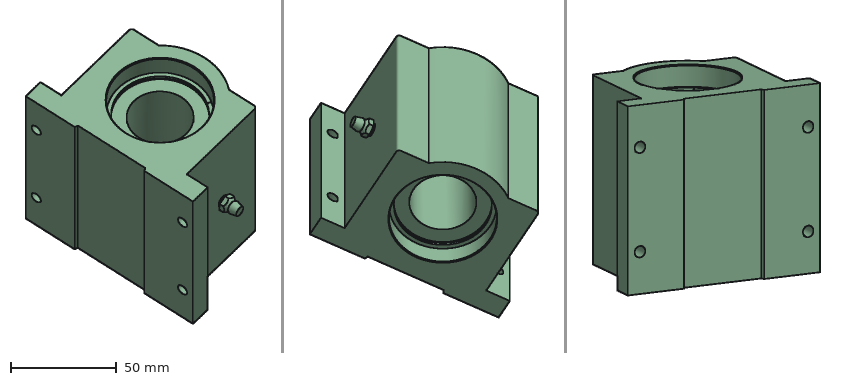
import cadquery as cq
import math


FOOT_WIDTH = 101.6
FOOT_THICKNESS = 11.1
BLOCK_WIDTH = 76.2
BLOCK_HEIGHT = 63.5
LENGTH = 92.0
TOTAL_HEIGHT = 71.3
AXIS_HEIGHT = 38.1
BASE_Y = -AXIS_HEIGHT
CROWN_RADIUS = TOTAL_HEIGHT - AXIS_HEIGHT
CORNER_RADIUS = 1.6
RELIEF_WIDTH_OUTER = 42.3
RELIEF_WIDTH_INNER = 40.8
RELIEF_DEPTH = 1.6
BORE_RADIUS = 25.4
BORE_CHAMFER_WIDTH = 0.4
BORE_CHAMFER_DEPTH = 0.6
MOUNT_HOLE_DIAMETER = 5.6
MOUNT_HOLE_SPACING_X = 88.9
MOUNT_HOLE_SPACING_Z = 50.8

RING_SETBACK = 10.8
RING_THICKNESS = 1.4
RING_INNER_RADIUS = 23.2
RING_SLIT_WIDTH = 0.2
RING_SLIT_ANGLE = 56.0

SHAFT_RADIUS = 15.8
BEARING_LENGTH = LENGTH - 2 * (RING_SETBACK + RING_THICKNESS)
BEARING_FACE_RECESS = 0.9

NIPPLE_STEM_RADIUS = 3.1
HEX_START = 1.1
HEX_END = 4.1
HEX_ACROSS_FLATS = 7.9
HEX_SIDES = 6
HEX_HALF_ANGLE = 180 / HEX_SIDES
CONE_END = 5.4
NECK_RADIUS = 2.8
BULGE_PEAK = 6.6
BULGE_PEAK_RADIUS = 3.5
BULGE_END = 7.4
BULGE_END_RADIUS = 3.3
NIPPLE_LENGTH = 10.3
TIP_RADIUS = 2.6


def cylinder(radius, length):
    """Solid cylinder on the Z axis, centred on Z = 0."""
    return cq.Workplane("XY").circle(radius).extrude(length / 2, both=True)


def housing_blank():
    """Flanged block with a round crown concentric with the bore."""
    foot = cq.Workplane("XY").box(FOOT_WIDTH, FOOT_THICKNESS, LENGTH)
    foot = foot.translate((0, BASE_Y + FOOT_THICKNESS / 2, 0))
    block = cq.Workplane("XY").box(BLOCK_WIDTH, BLOCK_HEIGHT, LENGTH)
    block = block.translate((0, BASE_Y + BLOCK_HEIGHT / 2, 0))
    block = block.edges("|Z and >Y").fillet(CORNER_RADIUS)
    return foot.union(block).union(cylinder(CROWN_RADIUS, LENGTH))


def base_relief():
    """Shallow channel with sloping sides along the mounting face."""
    relief_top = BASE_Y + RELIEF_DEPTH
    return (
        cq.Workplane("XY")
        .moveTo(-RELIEF_WIDTH_OUTER / 2, BASE_Y)
        .lineTo(-RELIEF_WIDTH_INNER / 2, relief_top)
        .lineTo(RELIEF_WIDTH_INNER / 2, relief_top)
        .lineTo(RELIEF_WIDTH_OUTER / 2, BASE_Y)
        .close()
        .extrude(LENGTH / 2, both=True)
    )


def bore():
    """Through bore with a narrow chamfer at each end."""
    half_length = LENGTH / 2
    mouth_radius = BORE_RADIUS + BORE_CHAMFER_WIDTH
    return (
        cq.Workplane("XZ")
        .moveTo(0, -half_length)
        .lineTo(mouth_radius, -half_length)
        .lineTo(BORE_RADIUS, -half_length + BORE_CHAMFER_DEPTH)
        .lineTo(BORE_RADIUS, half_length - BORE_CHAMFER_DEPTH)
        .lineTo(mouth_radius, half_length)
        .lineTo(0, half_length)
        .close()
        .revolve(360, (0, 0, 0), (0, 1, 0))
    )


def mount_holes():
    """Four holes through the foot, parallel to Y."""
    return (
        cq.Workplane("XZ", origin=(0, BASE_Y, 0))
        .rarray(MOUNT_HOLE_SPACING_X, MOUNT_HOLE_SPACING_Z, 2, 2)
        .circle(MOUNT_HOLE_DIAMETER / 2)
        .extrude(-FOOT_THICKNESS)
    )


def make_housing():
    return housing_blank().cut(base_relief()).cut(bore()).cut(mount_holes())


def make_bearing():
    """Sleeve with a raised outer rim at each end."""
    recessed_length = BEARING_LENGTH - 2 * BEARING_FACE_RECESS
    shell = cylinder(BORE_RADIUS, BEARING_LENGTH).cut(cylinder(RING_INNER_RADIUS, BEARING_LENGTH))
    core = cylinder(RING_INNER_RADIUS, recessed_length)
    return shell.union(core).cut(cylinder(SHAFT_RADIUS, BEARING_LENGTH))


def make_retaining_ring(bottom_z):
    """Flat ring with one narrow radial slit."""
    slit = (
        cq.Workplane("XY")
        .box(2 * BORE_RADIUS, RING_SLIT_WIDTH, RING_THICKNESS, centered=(False, True, False))
        .rotate((0, 0, 0), (0, 0, 1), RING_SLIT_ANGLE)
    )
    ring = cq.Workplane("XY").circle(BORE_RADIUS).circle(RING_INNER_RADIUS).extrude(RING_THICKNESS)
    return ring.cut(slit).translate((0, 0, bottom_z))


def nipple_hex():
    """Hexagon with two flats facing +Y and -Y, its outer corners turned off at 45 degrees."""
    flat_radius = HEX_ACROSS_FLATS / 2
    corner_radius = flat_radius / math.cos(math.radians(HEX_HALF_ANGLE))
    corner_cut = corner_radius - flat_radius
    hexagon = (
        cq.Workplane("YZ", origin=(HEX_START, 0, 0))
        .polygon(HEX_SIDES, 2 * corner_radius)
        .extrude(HEX_END - HEX_START)
        .rotate((0, 0, 0), (1, 0, 0), HEX_HALF_ANGLE)
    )
    turned = (
        cq.Workplane("YZ", origin=(HEX_START, 0, 0))
        .circle(corner_radius)
        .extrude(HEX_END - HEX_START)
        .faces(">X")
        .chamfer(corner_cut)
    )
    return hexagon.intersect(turned)


def make_grease_nipple():
    """Nipple standing on the middle of the block's +X side, level with the bore axis."""
    turned_body = (
        cq.Workplane("XZ")
        .lineTo(0, NIPPLE_STEM_RADIUS)
        .lineTo(HEX_END, NIPPLE_STEM_RADIUS)
        .lineTo(HEX_END, HEX_ACROSS_FLATS / 2)
        .lineTo(CONE_END, NECK_RADIUS)
        .threePointArc((BULGE_PEAK, BULGE_PEAK_RADIUS), (BULGE_END, BULGE_END_RADIUS))
        .lineTo(NIPPLE_LENGTH, TIP_RADIUS)
        .lineTo(NIPPLE_LENGTH, 0)
        .close()
        .revolve(360, (0, 0, 0), (1, 0, 0))
    )
    return turned_body.union(nipple_hex()).translate((BLOCK_WIDTH / 2, 0, 0))


housing = make_housing()
bearing = make_bearing()
grease_nipple = make_grease_nipple()
ring_bottoms = (BEARING_LENGTH / 2, -BEARING_LENGTH / 2 - RING_THICKNESS)
retaining_rings = [make_retaining_ring(bottom_z) for bottom_z in ring_bottoms]

result = cq.Compound.makeCompound(
    [housing.val(), bearing.val(), grease_nipple.val(), *[ring.val() for ring in retaining_rings]]
)